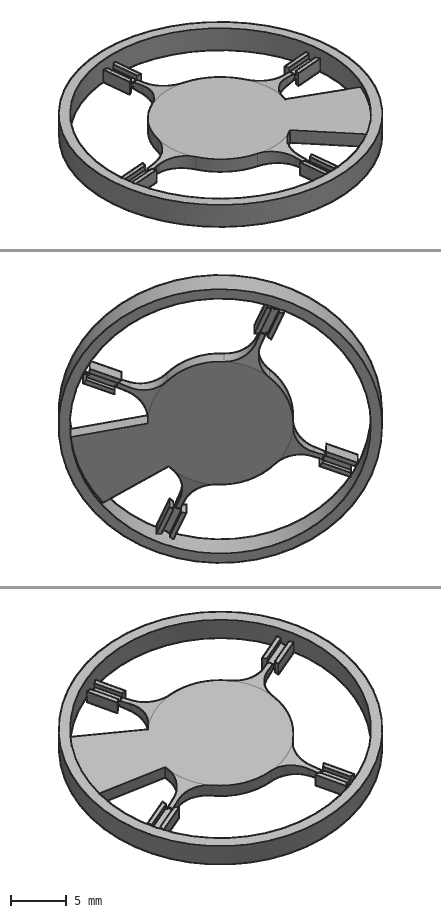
import cadquery as cq
import math

ring_outer_radius = 14.5
ring_inner_radius = 13.48
ring_height = 2.4
mid_height = ring_height / 2

hub_radius = 6.52
hub_thickness = 1.4
bridge_direction = 45.0
bridge_inner_width = 4.93
bridge_outer_width = 7.55
bridge_inner_distance = 6.03
bridge_outer_distance = 12.95

arm_count = 4
arm_width = 0.5
arm_tip_radius = 10.0
arm_tip_thickness = 0.7
arm_root_fillet = 3.0

pad_inner_radius = 9.92
pad_outer_radius = 13.0
pad_width = 1.65
pad_channel_width = 0.78
pad_web_thickness = 0.4
pad_end_notch = 0.3


def slab(outline, thickness):
    """Extrude a closed outline symmetrically about the mid height of the ring."""
    return outline.extrude(thickness / 2, both=True).translate((0, 0, mid_height))


def make_ring():
    return cq.Workplane("XY").circle(ring_outer_radius).circle(ring_inner_radius).extrude(ring_height)


def make_bridge():
    """Flared bridge, drawn along +X, reaching from inside the hub to inside the ring wall."""
    half_inner = bridge_inner_width / 2
    half_outer = bridge_outer_width / 2
    flare = (half_outer - half_inner) / (bridge_outer_distance - bridge_inner_distance)
    end_distance = (ring_inner_radius + ring_outer_radius) / 2
    half_end = half_outer + flare * (end_distance - bridge_outer_distance)
    outline = (
        cq.Workplane("XY")
        .moveTo(0, 0)
        .lineTo(bridge_inner_distance, -half_inner)
        .lineTo(end_distance, -half_end)
        .lineTo(end_distance, half_end)
        .lineTo(bridge_inner_distance, half_inner)
        .close()
    )
    within_ring = cq.Workplane("XY").circle(end_distance).extrude(ring_height)
    return slab(outline, hub_thickness).intersect(within_ring).rotate((0, 0, 0), (0, 0, 1), bridge_direction)


def make_arm():
    """Arm along +X: root fillets tangent to the hub, thickness tapering conically to its tip.

    A thinner tongue runs on from the tip to meet the pad web flush.
    """
    half_width = arm_width / 2
    fillet_y = half_width + arm_root_fillet
    fillet_x = math.sqrt((hub_radius + arm_root_fillet) ** 2 - fillet_y**2)
    root_angle = math.atan2(fillet_y, fillet_x)
    root = (hub_radius * math.cos(root_angle), hub_radius * math.sin(root_angle))
    mid_angle = (root_angle - math.pi / 2 + math.pi) / 2 + math.pi
    middle = (
        fillet_x + arm_root_fillet * math.cos(mid_angle),
        fillet_y + arm_root_fillet * math.sin(mid_angle),
    )
    tongue_end = pad_inner_radius + pad_end_notch
    outline = (
        cq.Workplane("XY")
        .lineTo(root[0], -root[1])
        .threePointArc((middle[0], -middle[1]), (fillet_x, -half_width))
        .lineTo(tongue_end, -half_width)
        .lineTo(tongue_end, half_width)
        .lineTo(fillet_x, half_width)
        .threePointArc(middle, root)
        .close()
    )
    half_hub = hub_thickness / 2
    half_tip = arm_tip_thickness / 2
    half_web = pad_web_thickness / 2
    taper = (
        cq.Workplane("XZ")
        .moveTo(0, -half_hub)
        .lineTo(hub_radius, -half_hub)
        .lineTo(arm_tip_radius, -half_tip)
        .lineTo(arm_tip_radius, -half_web)
        .lineTo(pad_outer_radius, -half_web)
        .lineTo(pad_outer_radius, half_web)
        .lineTo(arm_tip_radius, half_web)
        .lineTo(arm_tip_radius, half_tip)
        .lineTo(hub_radius, half_hub)
        .lineTo(0, half_hub)
        .close()
        .revolve(360, (0, 0, 0), (0, 1, 0))
        .translate((0, 0, mid_height))
    )
    return slab(outline, hub_thickness).intersect(taper)


def make_pad():
    """Pad along +X: two side plates joined by a thin web, both ends notched to a shallow V."""
    half_width = pad_width / 2
    outline = (
        cq.Workplane("XY")
        .moveTo(pad_inner_radius, -half_width)
        .lineTo(pad_outer_radius, -half_width)
        .lineTo(pad_outer_radius - pad_end_notch, 0)
        .lineTo(pad_outer_radius, half_width)
        .lineTo(pad_inner_radius, half_width)
        .lineTo(pad_inner_radius + pad_end_notch, 0)
        .close()
    )
    pad_centre = (pad_inner_radius + pad_outer_radius) / 2
    pad_length = pad_outer_radius - pad_inner_radius
    channel_depth = (hub_thickness - pad_web_thickness) / 2
    channel_offset = (pad_web_thickness + channel_depth) / 2
    pad = slab(outline, hub_thickness)
    for side in (-1, 1):
        channel = cq.Workplane("XY").box(pad_length, pad_channel_width, channel_depth)
        pad = pad.cut(channel.translate((pad_centre, 0, mid_height + side * channel_offset)))
    return pad


hub = slab(cq.Workplane("XY").circle(hub_radius), hub_thickness)
result = make_ring().union(hub).union(make_bridge())

arm_with_pad = make_arm().union(make_pad())
for index in range(arm_count):
    angle = index * 360 / arm_count
    result = result.union(arm_with_pad.rotate((0, 0, 0), (0, 0, 1), angle))